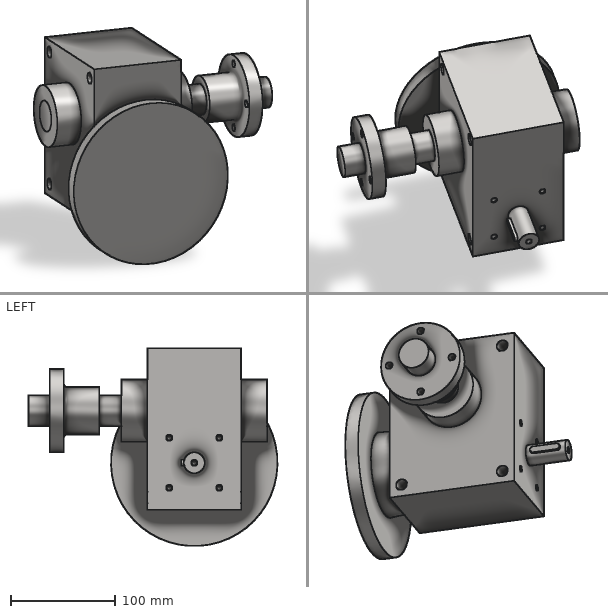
import cadquery as cq
import math


HOUSING_LENGTH = 126.0
HOUSING_WIDTH = 90.0
HOUSING_HEIGHT = 155.0
HOUSING_TOP = 110.0
MOUNT_HOLE_DIAMETER = 11.0
MOUNT_HOLE_INSET = 12.0

SCREW_AXIS_Z = 50.0
BOSS_DIAMETER = 60.0
BOSS_LENGTH = 24.9

NECK_LENGTH = 20.0
NECK_DIAMETER = 80.5
NECK_FLARED_DIAMETER = 83.2
MOTOR_FLANGE_DIAMETER = 160.0
MOTOR_FLANGE_THICKNESS = 13.1

TAP_HOLE_DIAMETER = 5.0
TAP_HOLE_MOUTH_DIAMETER = 6.0
TAP_HOLE_DEPTH = 10.0
TAP_HOLE_SPACING = 48.0
DRILL_POINT_ANGLE = 118.0

SHAFT_DIAMETER = 20.0
SHAFT_LENGTH = 40.0
KEY_LENGTH = 29.9
KEY_WIDTH = 6.0
KEY_HEIGHT = 6.0
KEY_TOP = 12.7
KEY_END_GAP = 5.0

SCREW_DIAMETER = 30.0
SCREW_LENGTH = 229.0

NUT_LENGTH = 47.8
NUT_HUB_DIAMETER = 46.0
NUT_FLANGE_DIAMETER = 80.0
NUT_FLANGE_THICKNESS = 13.6
NUT_FILLET = 2.9
NUT_BOLT_CIRCLE_DIAMETER = 63.5
NUT_BOLT_HOLE_DIAMETER = 7.0
NUT_BOLT_COUNT = 4
NUT_TO_BOSS_GAP = 21.0

HOUSING_MIN_X = -HOUSING_LENGTH / 2
HOUSING_MAX_X = HOUSING_LENGTH / 2
HOUSING_MID_Z = HOUSING_TOP - HOUSING_HEIGHT / 2
BOSS_END_Y = HOUSING_WIDTH / 2 + BOSS_LENGTH
SHAFT_END_X = HOUSING_MIN_X - SHAFT_LENGTH
NUT_START_Y = BOSS_END_Y + NUT_TO_BOSS_GAP
NUT_FLANGE_START_Y = NUT_START_Y + NUT_LENGTH - NUT_FLANGE_THICKNESS


def cylinder_along_y(diameter, start_y, length, x=0, z=SCREW_AXIS_Z):
    return cq.Workplane(cq.Solid.makeCylinder(
        diameter / 2, length, cq.Vector(x, start_y, z), cq.Vector(0, 1, 0)))


def cylinder_along_x(diameter, start_x, length):
    return cq.Workplane(cq.Solid.makeCylinder(
        diameter / 2, length, cq.Vector(start_x, 0, 0), cq.Vector(1, 0, 0)))


def tap_hole(start_x, y=0, z=0):
    """Blind hole running in +X: a 45 degree countersink, then a bore with a drill point."""
    mouth_radius = TAP_HOLE_MOUTH_DIAMETER / 2
    radius = TAP_HOLE_DIAMETER / 2
    point_length = radius / math.tan(math.radians(DRILL_POINT_ANGLE / 2))
    profile = (
        cq.Workplane("XY")
        .polyline([
            (0, 0),
            (TAP_HOLE_DEPTH + point_length, 0),
            (TAP_HOLE_DEPTH, radius),
            (mouth_radius - radius, radius),
            (0, mouth_radius),
        ])
        .close()
    )
    return profile.revolve(360, (0, 0), (1, 0)).translate((start_x, y, z))


def make_motor_flange():
    """Neck that leaves the housing parallel to the worm axis and flares out to the flange disc."""
    neck_end_x = HOUSING_MAX_X + NECK_LENGTH
    flare = (NECK_FLARED_DIAMETER - NECK_DIAMETER) / 2
    flare_radius = (NECK_LENGTH**2 + flare**2) / (2 * flare)
    neck = (
        cq.Workplane("XY")
        .moveTo(HOUSING_MAX_X, 0)
        .lineTo(HOUSING_MAX_X, NECK_DIAMETER / 2)
        .radiusArc((neck_end_x, NECK_FLARED_DIAMETER / 2), -flare_radius)
        .lineTo(neck_end_x, 0)
        .close()
        .revolve(360, (0, 0), (1, 0))
    )
    return neck.union(cylinder_along_x(MOTOR_FLANGE_DIAMETER, neck_end_x, MOTOR_FLANGE_THICKNESS))


def make_housing():
    block = cq.Workplane("XY").box(HOUSING_LENGTH, HOUSING_WIDTH, HOUSING_HEIGHT)
    housing = block.translate((0, 0, HOUSING_MID_Z))
    housing = housing.union(cylinder_along_y(BOSS_DIAMETER, -BOSS_END_Y, 2 * BOSS_END_Y))
    housing = housing.union(make_motor_flange())

    housing = housing.cut(cylinder_along_y(SCREW_DIAMETER, -BOSS_END_Y, 2 * BOSS_END_Y))

    hole_x = HOUSING_LENGTH / 2 - MOUNT_HOLE_INSET
    hole_z = HOUSING_HEIGHT / 2 - MOUNT_HOLE_INSET
    for x in (-hole_x, hole_x):
        for z in (HOUSING_MID_Z - hole_z, HOUSING_MID_Z + hole_z):
            housing = housing.cut(
                cylinder_along_y(MOUNT_HOLE_DIAMETER, -HOUSING_WIDTH / 2, HOUSING_WIDTH, x, z))

    for y in (-TAP_HOLE_SPACING / 2, TAP_HOLE_SPACING / 2):
        for z in (-TAP_HOLE_SPACING / 2, TAP_HOLE_SPACING / 2):
            housing = housing.cut(tap_hole(HOUSING_MIN_X, y, z))
    return housing


def make_key():
    """Round-ended key standing out of the +Y side of the worm shaft."""
    key = cq.Workplane("XZ").slot2D(KEY_LENGTH, KEY_WIDTH).extrude(KEY_HEIGHT)
    return key.translate((SHAFT_END_X + KEY_END_GAP + KEY_LENGTH / 2, KEY_TOP, 0))


def make_worm_shaft(key):
    shaft = cylinder_along_x(SHAFT_DIAMETER, SHAFT_END_X, SHAFT_LENGTH)
    return shaft.cut(tap_hole(SHAFT_END_X)).cut(key)


def make_lifting_screw():
    return cylinder_along_y(SCREW_DIAMETER, -BOSS_END_Y, SCREW_LENGTH)


def make_nut():
    hub = cylinder_along_y(NUT_HUB_DIAMETER, NUT_START_Y, NUT_LENGTH)
    flange = cylinder_along_y(NUT_FLANGE_DIAMETER, NUT_FLANGE_START_Y, NUT_FLANGE_THICKNESS)
    nut = hub.union(flange)

    inner_edge = cq.selectors.RadiusNthSelector(0)
    nut = nut.faces("<Y[1]").edges(inner_edge).fillet(NUT_FILLET)

    for i in range(NUT_BOLT_COUNT):
        angle = 2 * math.pi * i / NUT_BOLT_COUNT
        x = NUT_BOLT_CIRCLE_DIAMETER / 2 * math.cos(angle)
        z = SCREW_AXIS_Z + NUT_BOLT_CIRCLE_DIAMETER / 2 * math.sin(angle)
        nut = nut.cut(
            cylinder_along_y(NUT_BOLT_HOLE_DIAMETER, NUT_FLANGE_START_Y, NUT_FLANGE_THICKNESS, x, z))

    return nut.cut(cylinder_along_y(SCREW_DIAMETER, NUT_START_Y, NUT_LENGTH))


housing = make_housing()
key = make_key()
worm_shaft = make_worm_shaft(key)
lifting_screw = make_lifting_screw()
nut = make_nut()

result = cq.Compound.makeCompound([
    housing.val(),
    worm_shaft.val(),
    key.val(),
    lifting_screw.val(),
    nut.val(),
])